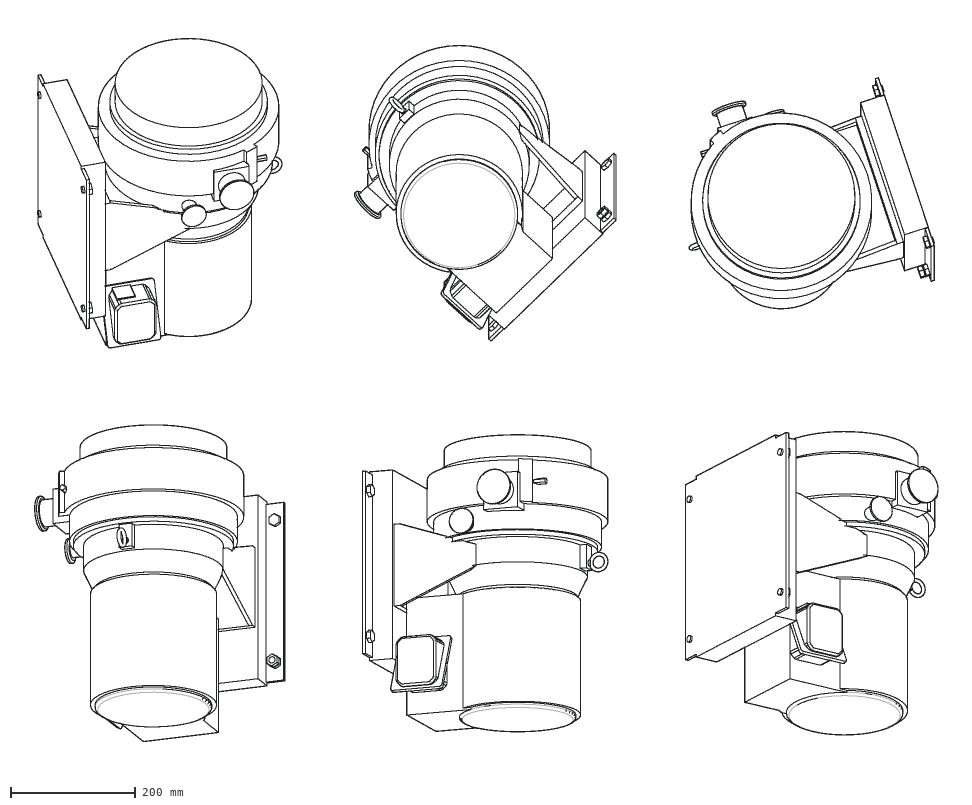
import cadquery as cq
import math

TOTAL_HEIGHT = 443.0
END_CAP_RADIUS = 94.0
END_CAP_TOP = 7.5
END_CAP_FILLET = 4.5
MOTOR_RADIUS = 101.5
MOTOR_TOP = 196.0
COLLAR_RADIUS = 96.5
COLLAR_TOP = 201.0
NECK_RADIUS = 112.5
NECK_BOTTOM = 235.0
NECK_TOP = 276.5
RING_RADIUS = 129.0
RING_TOP = 284.0
SHOULDER_RADIUS = 135.0
SHOULDER_TOP = 325.5
BODY_RADIUS = 145.5
BODY_TOP = 395.5
RIM_RADIUS = 126.7
RIM_TOP = 406.0
INLET_RADIUS = 118.5

BLOCK_LEFT = -50.0
BLOCK_FLARE_LEFT = -56.0
BLOCK_FLARE_FRONT = -94.0
BLOCK_RIGHT = 79.8
BLOCK_BOTTOM = 4.0
BLOCK_FRONT = -160.5

TERMINAL_RIGHT = 131.5
TERMINAL_BOTTOM = 40.0
TERMINAL_TOP = 122.0
TERMINAL_BACK = -90.5
TERMINAL_FRONT = -159.5
TERMINAL_CHAMFER = 9.0
TERMINAL_BEVEL = 3.5
TERMINAL_EDGE_BREAK = 2.0
ENTRY_RIGHT = 117.5
ENTRY_BACK = -122.0
ENTRY_FRONT = -152.5
ENTRY_HEIGHT = 2.0

LID_LENGTH = 102.0
LID_WIDTH = 88.5
LID_THICKNESS = 5.8
LID_TILT = 24.7
LID_CENTRE_X = 103.5
LID_CENTRE_Y = -126.0
LID_CENTRE_Z = 80.0
LID_CORNER_RADIUS = 4.5

EXHAUST_Y = 29.5
EXHAUST_Z = 344.0
EXHAUST_RADIUS = 22.0
EXHAUST_FLANGE_RADIUS = 28.5
EXHAUST_END = 182.5
EXHAUST_PAD_SIDE = 58.5
EXHAUST_PAD_END = 150.5
PURGE_Y = -35.5
PURGE_Z = 297.8
PURGE_RADIUS = 11.5
PURGE_FLANGE_RADIUS = 20.5
PURGE_END = 159.0
PORT_FLANGE_THICKNESS = 3.5
PORT_TAPER_LENGTH = 2.0

SECTOR_RADIUS = 153.0
SECTOR_START = 22.0
SECTOR_END = 30.5
PLUG_X = 119.5
PLUG_Z = 360.5
PLUG_FLATS = 8.5
PLUG_END = 96.0

EYE_BLOCK_WIDTH = 22.0
EYE_BLOCK_BACK = 123.5
EYE_BLOCK_BOTTOM = 238.0
EYE_Y = 140.0
EYE_Z = 248.0
EYE_RING_RADIUS = 13.0
EYE_WIRE_RADIUS = 3.0
EYE_STUB_RADIUS = 5.0

BRACKET_WIDTH = 217.0
BRACKET_BOTTOM = 178.5
BRACKET_TOP = 313.3
GUSSET_THICKNESS = 6.5
GUSSET_TIP_Y = -26.5
GUSSET_TIP_TOP = 268.0
SHELF_THICKNESS = 6.5
SHELF_BACK = -79.8

BASE_BACK = -171.0
BASE_FRONT = -211.5
BASE_WIDTH = 227.8
BASE_BOTTOM = 91.0
BASE_TOP = 402.0
MOUNT_WIDTH = 289.0
MOUNT_BOTTOM = 95.5
MOUNT_TOP = 396.5
MOUNT_THICKNESS = 5.5

BOLT_X = 130.3
BOLT_LOW_Z = 126.7
BOLT_HIGH_Z = 367.0
BOLT_DIAMETER = 10.5
BOLT_PROTRUSION = 3.0
HEX_CORNERS = 20.5
HEX_HEIGHT = 6.0
EARTH_NUT_GAP = 1.8
EARTH_NUT_HEIGHT = 7.5

MOUNT_BACK = BASE_FRONT + MOUNT_THICKNESS


def span_box(x_range, y_range, z_range):
    """Box given by its low and high limits on each axis."""
    sizes = [high - low for low, high in (x_range, y_range, z_range)]
    corner = (x_range[0], y_range[0], z_range[0])
    return cq.Workplane("XY").box(*sizes, centered=False).translate(corner)


def rod_along_y(x, z, y_start, y_end, radius):
    """Round rod from y_start up to y_end."""
    rod = cq.Solid.makeCylinder(radius, y_end - y_start, cq.Vector(x, y_start, z), cq.Vector(0, 1, 0))
    return cq.Workplane(rod)


def hexagon_along_y(x, z, y_start, y_end, corners):
    """Hexagonal prism with two of its corners pointing up and down."""
    prism = cq.Workplane("XY").polygon(6, corners).extrude(y_end - y_start)
    prism = prism.rotate((0, 0, 0), (0, 0, 1), 90).rotate((0, 0, 0), (1, 0, 0), -90)
    return prism.translate((x, y_start, z))


def make_casing():
    """Round casing as one stepped profile turned about Z."""
    profile = [
        (0, 0),
        (END_CAP_RADIUS, 0),
        (END_CAP_RADIUS, END_CAP_TOP),
        (MOTOR_RADIUS, END_CAP_TOP),
        (MOTOR_RADIUS, MOTOR_TOP),
        (COLLAR_RADIUS, MOTOR_TOP),
        (COLLAR_RADIUS, COLLAR_TOP),
        (NECK_RADIUS, NECK_BOTTOM),
        (NECK_RADIUS, NECK_TOP),
        (RING_RADIUS, NECK_TOP),
        (RING_RADIUS, RING_TOP),
        (SHOULDER_RADIUS, RING_TOP),
        (SHOULDER_RADIUS, SHOULDER_TOP),
        (BODY_RADIUS, SHOULDER_TOP),
        (BODY_RADIUS, BODY_TOP),
        (RIM_RADIUS, BODY_TOP),
        (RIM_RADIUS, RIM_TOP),
        (INLET_RADIUS, RIM_TOP),
        (INLET_RADIUS, TOTAL_HEIGHT),
        (0, TOTAL_HEIGHT),
    ]
    casing = cq.Workplane("XZ").polyline(profile).close().revolve(360, (0, 0), (0, 1))
    return casing.faces("<Z").edges().fillet(END_CAP_FILLET)


def make_motor_block():
    """Block from the motor to the bracket; its left side flares out where it meets the motor."""
    outline = [
        (BLOCK_LEFT, BLOCK_FRONT),
        (BLOCK_RIGHT, BLOCK_FRONT),
        (BLOCK_RIGHT, 0),
        (BLOCK_LEFT, 0),
        (BLOCK_FLARE_LEFT, -math.sqrt(MOTOR_RADIUS**2 - BLOCK_FLARE_LEFT**2)),
        (BLOCK_LEFT, BLOCK_FLARE_FRONT),
    ]
    block = cq.Workplane("XY").workplane(offset=BLOCK_BOTTOM).polyline(outline).close()
    return block.extrude(MOTOR_TOP - BLOCK_BOTTOM)


def make_terminal_box():
    """Chamfered box with a sloping lid flange through it and a cable entry pad on top."""
    box = span_box(
        (BLOCK_RIGHT, TERMINAL_RIGHT),
        (TERMINAL_FRONT, TERMINAL_BACK),
        (TERMINAL_BOTTOM, TERMINAL_TOP),
    )
    box = box.edges("|X").chamfer(TERMINAL_CHAMFER).edges("|X").chamfer(TERMINAL_EDGE_BREAK)
    box = box.faces(">X").chamfer(TERMINAL_BEVEL)
    entry = span_box(
        (BLOCK_RIGHT, ENTRY_RIGHT),
        (ENTRY_FRONT, ENTRY_BACK),
        (TERMINAL_TOP - TERMINAL_CHAMFER, TERMINAL_TOP + ENTRY_HEIGHT),
    )
    lid = cq.Workplane("XY").box(LID_THICKNESS, LID_WIDTH, LID_LENGTH)
    lid = lid.edges("|X").fillet(LID_CORNER_RADIUS).rotate((0, 0, 0), (0, 1, 0), -LID_TILT)
    lid = lid.translate((LID_CENTRE_X, LID_CENTRE_Y, LID_CENTRE_Z))
    return box.union(entry).union(lid)


def make_port(y, z, pipe_radius, flange_radius, end):
    """Solid pipe along +X, ending in a thin flange with a tapered back."""
    flange_start = end - PORT_FLANGE_THICKNESS
    taper_start = flange_start - PORT_TAPER_LENGTH
    taper_radius = (pipe_radius + flange_radius) / 2
    profile = [
        (0, 0),
        (0, pipe_radius),
        (taper_start, pipe_radius),
        (taper_start, taper_radius),
        (flange_start, flange_radius),
        (end, flange_radius),
        (end, 0),
    ]
    port = cq.Workplane("XY").polyline(profile).close().revolve(360, (0, 0), (1, 0))
    inner_end = span_box((0, INLET_RADIUS), (-pipe_radius, pipe_radius), (-pipe_radius, pipe_radius))
    return port.cut(inner_end).translate((0, y, z))


def make_exhaust_pad():
    """Square pad that carries the exhaust port on the round body."""
    half = EXHAUST_PAD_SIDE / 2
    return span_box(
        (INLET_RADIUS, EXHAUST_PAD_END),
        (EXHAUST_Y - half, EXHAUST_Y + half),
        (EXHAUST_Z - half, EXHAUST_Z + half),
    )


def make_raised_sector():
    """Short raised arc on the body, as tall as the body."""
    def on_arc(angle):
        turn = math.radians(angle)
        return (SECTOR_RADIUS * math.cos(turn), SECTOR_RADIUS * math.sin(turn))

    sector = cq.Workplane("XY").workplane(offset=SHOULDER_TOP).lineTo(*on_arc(SECTOR_START))
    sector = sector.threePointArc(on_arc((SECTOR_START + SECTOR_END) / 2), on_arc(SECTOR_END))
    return sector.close().extrude(BODY_TOP - SHOULDER_TOP)


def make_lifting_eye():
    """Block on the neck with a stub and a ring."""
    half = EYE_BLOCK_WIDTH / 2
    block = span_box((-half, half), (COLLAR_RADIUS, EYE_BLOCK_BACK), (EYE_BLOCK_BOTTOM, NECK_TOP))
    stub = rod_along_y(0, EYE_Z, EYE_BLOCK_BACK, EYE_Y - EYE_RING_RADIUS, EYE_STUB_RADIUS)
    ring = cq.Solid.makeTorus(
        EYE_RING_RADIUS, EYE_WIRE_RADIUS, cq.Vector(0, EYE_Y, EYE_Z), cq.Vector(1, 0, 0)
    )
    return block.union(stub).union(cq.Workplane(ring))


def make_pump(casing):
    """Whole pump: casing with everything fixed to it."""
    plug_corners = PLUG_FLATS / math.cos(math.radians(30))
    plug = hexagon_along_y(PLUG_X, PLUG_Z, 0, PLUG_END, plug_corners)
    exhaust = make_port(EXHAUST_Y, EXHAUST_Z, EXHAUST_RADIUS, EXHAUST_FLANGE_RADIUS, EXHAUST_END)
    purge = make_port(PURGE_Y, PURGE_Z, PURGE_RADIUS, PURGE_FLANGE_RADIUS, PURGE_END)
    fittings = [
        make_motor_block(),
        make_terminal_box(),
        exhaust,
        make_exhaust_pad(),
        purge,
        make_raised_sector(),
        plug,
        make_lifting_eye(),
    ]
    pump = casing
    for fitting in fittings:
        pump = pump.union(fitting)
    return pump


def make_bracket(casing):
    """Back plate, two gussets and the shelf between them, cut to fit the round casing."""
    half = BRACKET_WIDTH / 2
    plate = span_box((-half, half), (BASE_BACK, BLOCK_FRONT), (BRACKET_BOTTOM, BRACKET_TOP))
    outline = [
        (BLOCK_FRONT, BRACKET_BOTTOM),
        (BLOCK_FRONT, BRACKET_TOP),
        (GUSSET_TIP_Y, GUSSET_TIP_TOP),
        (GUSSET_TIP_Y, NECK_BOTTOM),
    ]
    gusset = cq.Workplane("YZ").polyline(outline).close().extrude(GUSSET_THICKNESS)
    left = gusset.translate((-half, 0, 0))
    right = gusset.translate((half - GUSSET_THICKNESS, 0, 0))
    shelf = span_box((-half, half), (BLOCK_FRONT, SHELF_BACK), (RING_TOP - SHELF_THICKNESS, RING_TOP))
    return plate.union(left).union(right).union(shelf).cut(casing)


def make_base():
    """Base box and mounting plate with four bolt holes."""
    half_box = BASE_WIDTH / 2
    half_mount = MOUNT_WIDTH / 2
    base = span_box((-half_box, half_box), (BASE_FRONT, BASE_BACK), (BASE_BOTTOM, BASE_TOP))
    mount = span_box((-half_mount, half_mount), (BASE_FRONT, MOUNT_BACK), (MOUNT_BOTTOM, MOUNT_TOP))
    base = base.union(mount)
    for x, z in BOLT_PLACES:
        base = base.cut(rod_along_y(x, z, BASE_FRONT, MOUNT_BACK, BOLT_DIAMETER / 2))
    return base


def make_bolt(x, z, shank_end):
    """Hexagon behind the mounting plate, on a shank that passes through the plate."""
    head_end = MOUNT_BACK + HEX_HEIGHT
    shank = rod_along_y(x, z, BASE_FRONT - BOLT_PROTRUSION, max(shank_end, head_end), BOLT_DIAMETER / 2)
    return shank.union(hexagon_along_y(x, z, MOUNT_BACK, head_end, HEX_CORNERS))


def make_earth_nut(x, z):
    """Loose second nut, a small gap behind the bolt's hexagon."""
    nut = hexagon_along_y(x, z, EARTH_NUT_START, EARTH_NUT_END, HEX_CORNERS)
    return nut.cut(rod_along_y(x, z, EARTH_NUT_START, EARTH_NUT_END, BOLT_DIAMETER / 2))


EARTH_NUT_START = MOUNT_BACK + HEX_HEIGHT + EARTH_NUT_GAP
EARTH_NUT_END = EARTH_NUT_START + EARTH_NUT_HEIGHT
EARTH_PLACE = (-BOLT_X, BOLT_LOW_Z)
BOLT_PLACES = [(x, z) for x in (-BOLT_X, BOLT_X) for z in (BOLT_LOW_Z, BOLT_HIGH_Z)]

pump_casing = make_casing()
pump = make_pump(pump_casing)
bracket = make_bracket(pump_casing)
base = make_base()
bolts = []
for place in BOLT_PLACES:
    shank_end = EARTH_NUT_END if place == EARTH_PLACE else MOUNT_BACK + HEX_HEIGHT
    bolts.append(make_bolt(*place, shank_end).val())
earth_nut = make_earth_nut(*EARTH_PLACE)

result = cq.Compound.makeCompound([pump.val(), bracket.val(), base.val(), *bolts, earth_nut.val()])